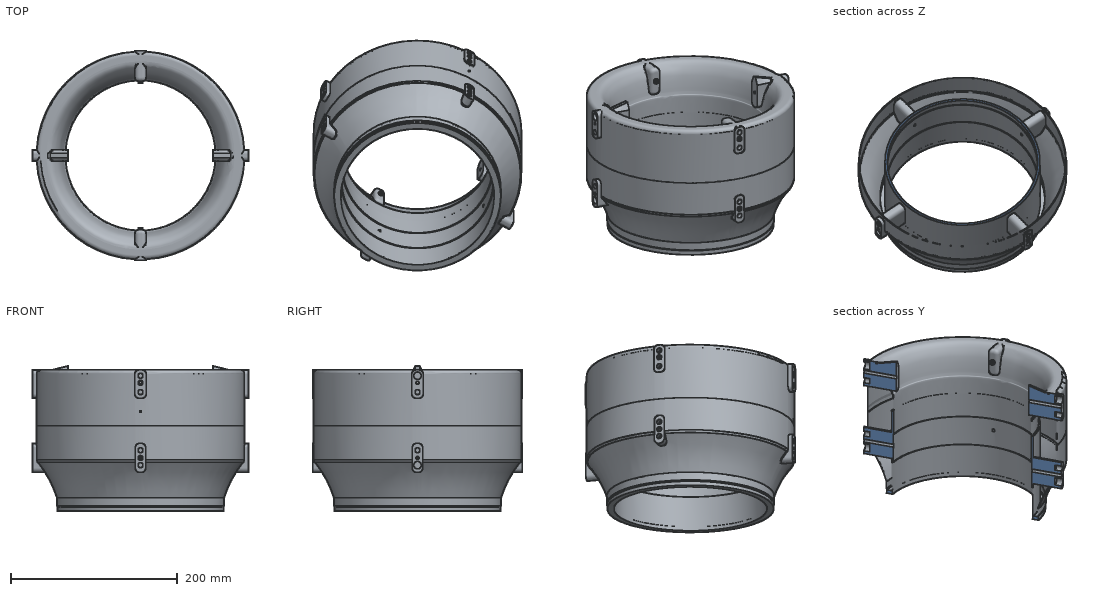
import cadquery as cq
import math

HEIGHT = 170.0
BARREL_R = 125.0
RIM_FILLET = 5.0
BARREL_BOTTOM_Z = 58.8
BARREL_EDGE_Z = 61.8
BARREL_EDGE_INSET = 1.0
NECK_R = 100.0
NECK_STEP_Z = 6.4
NECK_UPPER_R = 100.5
TAIL_START_Z = 16.0
TAIL_MIDDLE = (106.4, 31.5)
TAIL_END_R = 123.5

LIP_R = 113.0
THROAT_R = 90.0
THROAT_TOP_Z = 109.5
THROAT_BOTTOM_Z = 79.0
RELIEF_R = 91.0
RELIEF_BOTTOM_Z = 42.0
OUTLET_R = 92.0

SKIN = 1.5
FLOOR = 5.0
JOINT_R = 124.4
JOINT_Z = (102.4, 107.0)
JOINT_TAPER_TOP_Z = 111.0

PAD_CORNER = 5.2
UPPER_PAD_WIDTH = 13.8
UPPER_PAD_Z = (135.7, 169.7)
LOWER_PAD_WIDTH = 12.4
LOWER_PAD_Z = (46.6, 81.5)
SIDE_PAD_R = 130.0
FRONT_PAD_R = 126.0
STRUT_TIP_R = 87.0
STRUT_ROOT_R = 115.0
SIDE_STRUT_TOP_Z = 174.61
SIDE_STRUT_ROOT_Z = 167.5
SIDE_STRUT_RIDGE = 5.0
SIDE_STRUT_FLANK = 8.5
SIDE_STRUT_ROOT_FLANK = 1.0
FRONT_STRUT_TOP_Z = 169.8
FRONT_STRUT_FACE_R = 89.0
FRONT_STRUT_TIP_FILLET = 4.5
FRONT_STRUT_BOSS_D = 6.0

SCREW_D = 3.2
SCREW_HEAD_D = 5.8
SCREW_HEAD_DEPTH = 3.0
PIN_D = 6.0
SOCKET_D = 9.0
BLIND_DEPTH = 8.0
UPPER_END_HOLE_Z = 162.7
UPPER_SCREW_Z = 154.2
UPPER_PIN_Z = 143.0
LOWER_PIN_Z = 73.2
LOWER_SCREW_Z = 64.0
LOWER_END_HOLE_Z = 55.3
VENT_D = 2.0
VENT_Z = 119.8


def revolve(outline):
    return outline.close().revolve(360, (0, 0, 0), (0, 1, 0))


def tail_curve(inset):
    """Start, middle and end of the flared tail, moved inwards by inset."""
    points = [(NECK_UPPER_R, TAIL_START_Z), TAIL_MIDDLE, (TAIL_END_R, BARREL_BOTTOM_Z)]
    return [(radius - inset, z) for radius, z in points]


def bell_mouth(outline, inset):
    """Draw the quarter ellipse from the rim down to the throat, moved into the wall by inset."""
    width = LIP_R - THROAT_R - inset
    depth = HEIGHT - THROAT_TOP_Z - inset
    angles = [math.radians(a) for a in (22.5, 45, 67.5, 90)]
    points = [(LIP_R - width * math.sin(a), THROAT_TOP_Z + depth * math.cos(a)) for a in angles]
    return outline.spline(points, tangents=[(-1, 0), (0, -1)], includeCurrent=True)


def solid_duct():
    start, middle, end = tail_curve(0)
    fillet_inset = RIM_FILLET * (1 - math.sqrt(0.5))
    outline = (
        cq.Workplane("XZ")
        .moveTo(OUTLET_R, 0)
        .lineTo(NECK_R, 0)
        .lineTo(NECK_R, NECK_STEP_Z)
        .lineTo(NECK_UPPER_R, NECK_STEP_Z)
        .lineTo(*start)
        .threePointArc(middle, end)
        .lineTo(BARREL_R - BARREL_EDGE_INSET, BARREL_BOTTOM_Z)
        .lineTo(BARREL_R, BARREL_EDGE_Z)
        .lineTo(BARREL_R, HEIGHT - RIM_FILLET)
        .threePointArc((BARREL_R - fillet_inset, HEIGHT - fillet_inset), (BARREL_R - RIM_FILLET, HEIGHT))
        .lineTo(LIP_R, HEIGHT)
    )
    outline = (
        bell_mouth(outline, 0)
        .lineTo(THROAT_R, THROAT_BOTTOM_Z)
        .lineTo(RELIEF_R, THROAT_BOTTOM_Z)
        .lineTo(RELIEF_R, RELIEF_BOTTOM_Z)
        .lineTo(OUTLET_R, RELIEF_BOTTOM_Z)
    )
    return revolve(outline)


def cavity():
    """Closed space between the bore wall and the outer skin."""
    start, middle, end = tail_curve(SKIN)
    inner_r = OUTLET_R + SKIN
    outer_r = BARREL_R - SKIN
    outline = (
        cq.Workplane("XZ")
        .moveTo(inner_r, FLOOR)
        .lineTo(start[0], FLOOR)
        .lineTo(*start)
        .threePointArc(middle, end)
        .lineTo(outer_r, BARREL_EDGE_Z)
        .lineTo(outer_r, JOINT_Z[0])
        .lineTo(JOINT_R, JOINT_Z[0])
        .lineTo(JOINT_R, JOINT_Z[1])
        .lineTo(outer_r, JOINT_TAPER_TOP_Z)
        .lineTo(outer_r, HEIGHT - RIM_FILLET)
        .lineTo(BARREL_R - RIM_FILLET, HEIGHT - SKIN)
        .lineTo(LIP_R, HEIGHT - SKIN)
    )
    outline = bell_mouth(outline, SKIN).lineTo(inner_r, THROAT_TOP_Z)
    return revolve(outline)


def radial_bar(width, z_range, inner_r, outer_r):
    """Bar along +X with its four long edges rounded."""
    return (
        cq.Workplane("XY")
        .box(outer_r - inner_r, width, z_range[1] - z_range[0], centered=(False, True, False))
        .translate((inner_r, 0, z_range[0]))
        .edges("|X")
        .fillet(PAD_CORNER)
    )


def radial_cylinder(diameter, z, inner_r, outer_r):
    return (
        cq.Workplane("YZ", origin=(inner_r, 0, 0))
        .center(0, z)
        .circle(diameter / 2)
        .extrude(outer_r - inner_r)
    )


def side_strut():
    """Strut whose ridge rises towards its tip and stands proud of the rim there."""
    half = UPPER_PAD_WIDTH / 2
    ridge = SIDE_STRUT_RIDGE / 2
    bottom = UPPER_PAD_Z[0]

    def section(top, flank):
        return [(-half, bottom), (half, bottom), (half, top - flank),
                (ridge, top), (-ridge, top), (-half, top - flank)]

    ridged = (
        cq.Workplane("YZ", origin=(STRUT_TIP_R, 0, 0))
        .polyline(section(SIDE_STRUT_TOP_Z, SIDE_STRUT_FLANK))
        .close()
        .workplane(offset=STRUT_ROOT_R - STRUT_TIP_R)
        .polyline(section(SIDE_STRUT_ROOT_Z, SIDE_STRUT_ROOT_FLANK))
        .close()
        .loft(ruled=True)
    )
    rounded_bottom = radial_bar(
        UPPER_PAD_WIDTH, (bottom, SIDE_STRUT_TOP_Z + PAD_CORNER), STRUT_TIP_R, STRUT_ROOT_R
    )
    return ridged.intersect(rounded_bottom)


def front_strut():
    """Level strut with a rounded tip and a small screw boss."""
    bar = radial_bar(UPPER_PAD_WIDTH, (UPPER_PAD_Z[0], FRONT_STRUT_TOP_Z), FRONT_STRUT_FACE_R, STRUT_ROOT_R)
    bar = bar.faces("<X").edges().fillet(FRONT_STRUT_TIP_FILLET)
    boss = radial_cylinder(FRONT_STRUT_BOSS_D, UPPER_SCREW_Z, STRUT_TIP_R, STRUT_ROOT_R)
    return bar.union(boss)


def pads(outer_r):
    """Upper and lower pad, each carried through to the bore wall."""
    upper = radial_bar(UPPER_PAD_WIDTH, UPPER_PAD_Z, STRUT_ROOT_R - SKIN, outer_r)
    lower = radial_bar(LOWER_PAD_WIDTH, LOWER_PAD_Z, OUTLET_R + SKIN / 2, outer_r)
    return upper.union(lower)


def pad_holes(outer_r, end_hole_d, head_d):
    """Screw holes through the wall, with blind holes above and below them."""
    blind_r = outer_r - BLIND_DEPTH
    holes = radial_cylinder(end_hole_d, UPPER_END_HOLE_Z, blind_r, outer_r)
    holes = holes.union(radial_cylinder(end_hole_d, LOWER_END_HOLE_Z, blind_r, outer_r))
    for z in (UPPER_PIN_Z, LOWER_PIN_Z):
        holes = holes.union(radial_cylinder(PIN_D, z, blind_r, outer_r))
    for z in (UPPER_SCREW_Z, LOWER_SCREW_Z):
        holes = holes.union(radial_cylinder(SCREW_D, z, 0, outer_r))
        if head_d:
            holes = holes.union(radial_cylinder(head_d, z, outer_r - SCREW_HEAD_DEPTH, outer_r))
    return holes


def around(shape, angle):
    return shape.rotate((0, 0, 0), (0, 0, 1), angle)


def build():
    part = solid_duct().cut(cavity())
    side_body = pads(SIDE_PAD_R).union(side_strut())
    front_body = pads(FRONT_PAD_R).union(front_strut())
    side_holes = pad_holes(SIDE_PAD_R, SOCKET_D, None)
    front_holes = pad_holes(FRONT_PAD_R, PIN_D, SCREW_HEAD_D)
    for angle in (0, 180):
        part = part.union(around(side_body, angle)).union(around(front_body, angle + 90))
    for angle in (0, 180):
        part = part.cut(around(side_holes, angle)).cut(around(front_holes, angle + 90))
    vent = radial_cylinder(VENT_D, VENT_Z, BARREL_R - 2 * SKIN, BARREL_R + SKIN)
    return part.cut(around(vent, -90))


result = build()